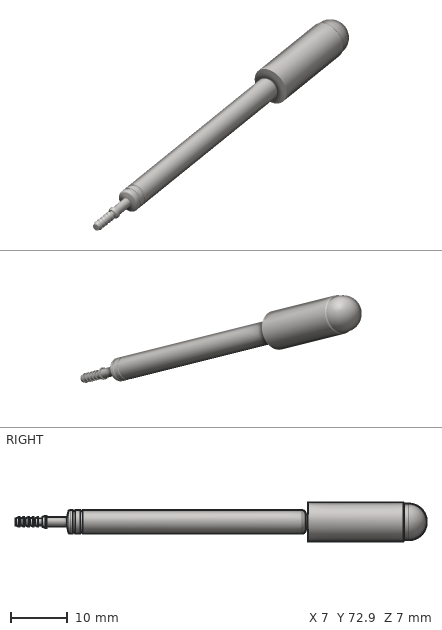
import cadquery as cq
import math

overall_length = 72.9
dome_end = overall_length / 2
pin_end = -overall_length / 2

plunger_radius = 3.3
sleeve_radius = 3.5
exposed_tip_length = 4.0
sleeve_top = dome_end - exposed_tip_length
sleeve_length = 17.05
sleeve_bottom = sleeve_top - sleeve_length
sleeve_chamfer = 0.2

neck_radius = 1.4
neck_length = 0.4

barrel_radius = 2.1
barrel_top = sleeve_bottom - neck_length
barrel_top_fillet = barrel_radius - neck_radius
barrel_end = -27.3
barrel_cone_length = 0.3
barrel_end_fillet = 0.4
groove_radius = 0.2
groove_pitch = 1.3
first_groove_center = -24.7
groove_count = 2

pin_radius = 0.9
collar_radius = 1.1
collar_top = -30.85
collar_land = 0.3
collar_length = 0.8
pin_shoulder = collar_top - collar_length
pin_core_radius = 0.65
barb_radius = 0.9
barb_count = 5
barb_land = 0.15
barb_length = 0.6
first_barb_top = -32.3
last_barb_top = -35.65
barb_pitch = (first_barb_top - last_barb_top) / (barb_count - 1)


def revolve_profile(profile):
    """Turn a closed (radius, y) outline about the Y axis."""
    return profile.close().revolve(360, (0, 0, 0), (0, 1, 0))


def cylinder(radius, top, bottom):
    """Solid cylinder on the Y axis between two Y positions."""
    return cq.Workplane("XZ", origin=(0, top, 0)).circle(radius).extrude(top - bottom)


def make_plunger():
    """Round rod with a hemispherical tip."""
    dome_base = dome_end - plunger_radius
    diagonal = plunger_radius / math.sqrt(2)
    profile = (
        cq.Workplane("XY")
        .moveTo(0, dome_end)
        .threePointArc((diagonal, dome_base + diagonal), (plunger_radius, dome_base))
        .lineTo(plunger_radius, sleeve_bottom)
        .lineTo(0, sleeve_bottom)
    )
    return revolve_profile(profile)


def make_sleeve():
    """Sleeve whose upper rim is chamfered."""
    return cylinder(sleeve_radius, sleeve_top, sleeve_bottom).faces(">Y").chamfer(sleeve_chamfer)


def make_groove_cutter(center):
    """Ring of round section centred on the barrel surface."""
    section = cq.Workplane("XY").center(barrel_radius, center).circle(groove_radius)
    return section.revolve(360, (-barrel_radius, 0, 0), (-barrel_radius, 1, 0))


def make_barrel():
    """Grooved barrel with both end rims rounded."""
    cone_top = barrel_end + barrel_cone_length
    profile = (
        cq.Workplane("XY")
        .moveTo(0, barrel_top)
        .lineTo(barrel_radius, barrel_top)
        .lineTo(barrel_radius, cone_top)
        .lineTo(pin_radius, barrel_end)
        .lineTo(0, barrel_end)
    )
    barrel = revolve_profile(profile)
    barrel = barrel.faces(">Y").edges().fillet(barrel_top_fillet)
    rim_zone = cq.selectors.BoxSelector(
        (-sleeve_radius, cone_top - barrel_end_fillet, -sleeve_radius),
        (sleeve_radius, cone_top + barrel_end_fillet, sleeve_radius),
        boundingbox=True,
    )
    barrel = barrel.edges(rim_zone).edges(">Y").fillet(barrel_end_fillet)
    for index in range(groove_count):
        barrel = barrel.cut(make_groove_cutter(first_groove_center - index * groove_pitch))
    return barrel


def make_ridge(top, land_radius, land, tail_radius, length):
    """Square shoulder at the top, straight land, then a taper toward the pin end."""
    profile = (
        cq.Workplane("XY")
        .moveTo(0, top)
        .lineTo(land_radius, top)
        .lineTo(land_radius, top - land)
        .lineTo(tail_radius, top - length)
        .lineTo(0, top - length)
    )
    return revolve_profile(profile)


def make_pin():
    """Stepped pin carrying the collar and the barbs."""
    pin = cylinder(pin_radius, barrel_end, collar_top)
    pin = pin.union(make_ridge(collar_top, collar_radius, collar_land, pin_radius, collar_length))
    pin = pin.union(cylinder(pin_core_radius, pin_shoulder, pin_end))
    for index in range(barb_count):
        barb_top = first_barb_top - index * barb_pitch
        pin = pin.union(make_ridge(barb_top, barb_radius, barb_land, pin_core_radius, barb_length))
    return pin


result = (
    make_plunger()
    .union(make_sleeve())
    .union(cylinder(neck_radius, sleeve_bottom, barrel_top))
    .union(make_barrel())
    .union(make_pin())
)